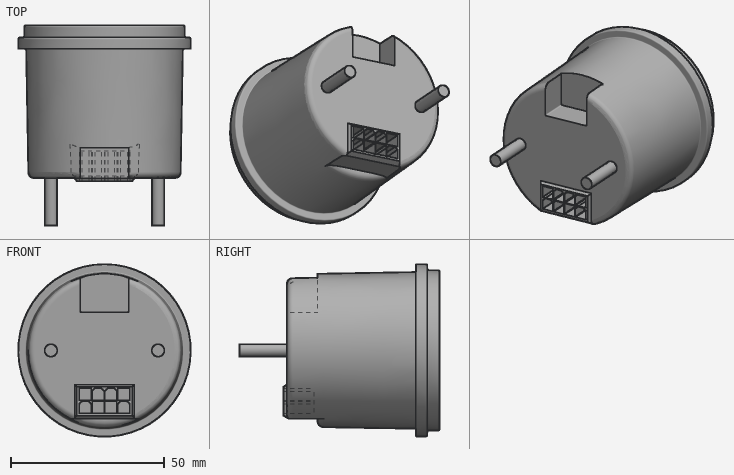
import cadquery as cq

BODY_LENGTH = 42.2
BODY_REAR_RADIUS = 24.9
BODY_FRONT_RADIUS = 25.65
BODY_REAR_FILLET = 2.0
BODY_ROOT_FILLET = 0.3

FLANGE_RADIUS = 28.22
FLANGE_THICKNESS = 3.8
FLANGE_FRONT_FILLET = 0.7
FLANGE_REAR_FILLET = 0.4
WINDOW_RADIUS = 26.25
OVERALL_FRONT = 50.0
WINDOW_FRONT_FILLET = 0.7
WINDOW_ROOT_FILLET = 0.4

STUD_RADIUS = 2.05
STUD_LENGTH = 15.5
STUD_SPACING = 35.0

POCKET_WIDTH = 15.8
POCKET_LENGTH = 10.0
POCKET_FLOOR_Z = 12.5
POCKET_FLOOR_FILLET = 0.4

RELIEF_Z = -22.4
RELIEF_LENGTH = 10.0
RELIEF_END_FILLET = 2.1

CONNECTOR_WIDTH = 19.5
CONNECTOR_TOP_Z = -11.2
CONNECTOR_HEIGHT = 1.1
CONNECTOR_SIDE_DRAFT = 0.7
BOTTOM_BEVEL_DEPTH = 1.9
BOTTOM_BEVEL_RISE = 1.1

CELL_PITCH = 4.2
CELL_SIZE = 3.95
CELL_DEPTH = 10.0
CELL_CHAMFER = 0.9
CELL_COLUMNS = 4
CELL_ROWS = 2
CELL_GRID_CENTER_Z = -16.45
KEYED_CELLS = [(1, 0), (2, 0), (0, 1), (3, 1)]

flange_front = BODY_LENGTH + FLANGE_THICKNESS


def cylinder_along_y(radius, y_start, y_end):
    plane = cq.Plane(origin=(0, y_start, 0), xDir=(0, 0, 1), normal=(0, 1, 0))
    return cq.Workplane(plane).circle(radius).extrude(y_end - y_start)


def box_between(x_range, y_range, z_range):
    size = [end - start for start, end in (x_range, y_range, z_range)]
    return cq.Workplane("XY").box(*size, centered=False).translate((x_range[0], y_range[0], z_range[0]))


def make_housing():
    """Tapered housing, flat under the connector, with its rear edges rounded."""
    profile = [(0, 0), (0, BODY_REAR_RADIUS), (BODY_LENGTH, BODY_FRONT_RADIUS), (BODY_LENGTH, 0)]
    body = cq.Workplane("YZ").polyline(profile).close().revolve(360, (0, 0, 0), (1, 0, 0))
    body = body.faces("<Y").edges().fillet(BODY_REAR_FILLET)

    cut_half = BODY_FRONT_RADIUS
    relief = box_between((-cut_half, cut_half), (0, RELIEF_LENGTH), (-FLANGE_RADIUS, RELIEF_Z))
    body = body.cut(relief)
    end_edge = cq.selectors.BoxSelector(
        (-cut_half, RELIEF_LENGTH - 0.1, -FLANGE_RADIUS),
        (cut_half, RELIEF_LENGTH + 0.1, RELIEF_Z - 0.1),
    )
    return body.edges(end_edge).fillet(RELIEF_END_FILLET)


def make_bezel():
    """Flange and the smaller window ring in front of it."""
    flange = cylinder_along_y(FLANGE_RADIUS, BODY_LENGTH, flange_front)
    flange = flange.faces(">Y").edges().fillet(FLANGE_FRONT_FILLET)
    flange = flange.faces("<Y").edges().fillet(FLANGE_REAR_FILLET)
    window = cylinder_along_y(WINDOW_RADIUS, flange_front, OVERALL_FRONT)
    window = window.faces(">Y").edges().fillet(WINDOW_FRONT_FILLET)
    return flange.union(window)


def fillet_root(part, y, radius, fillet):
    """Round the inner corner where a cylinder of the given radius meets a flange face at y."""
    reach = radius + 0.1
    margin = 0.05
    root = cq.selectors.BoxSelector(
        (-reach, y - margin, -reach), (reach, y + margin, reach), boundingbox=True
    )
    return part.edges(root).fillet(fillet)


def make_studs():
    stud = cylinder_along_y(STUD_RADIUS, -STUD_LENGTH, BODY_REAR_FILLET)
    half = STUD_SPACING / 2
    return stud.translate((-half, 0, 0)).union(stud.translate((half, 0, 0)))


def make_pocket():
    half = POCKET_WIDTH / 2
    pocket = box_between((-half, half), (-POCKET_LENGTH, POCKET_LENGTH), (POCKET_FLOOR_Z, FLANGE_RADIUS))
    return pocket.faces("<Z").edges("|Y").fillet(POCKET_FLOOR_FILLET)


def make_connector():
    """Connector block standing proud of the rear face, its sides and top sloping inwards."""
    base_half = CONNECTOR_WIDTH / 2
    tip_half = base_half - CONNECTOR_SIDE_DRAFT
    height = CONNECTOR_TOP_Z - RELIEF_Z
    tip_top = CONNECTOR_TOP_Z - CONNECTOR_SIDE_DRAFT
    plan = [
        (-base_half, RELIEF_LENGTH),
        (-base_half, 0),
        (-tip_half, -CONNECTOR_HEIGHT),
        (tip_half, -CONNECTOR_HEIGHT),
        (base_half, 0),
        (base_half, RELIEF_LENGTH),
    ]
    side = [
        (RELIEF_LENGTH, CONNECTOR_TOP_Z),
        (0, CONNECTOR_TOP_Z),
        (-CONNECTOR_HEIGHT, tip_top),
        (-CONNECTOR_HEIGHT, RELIEF_Z),
        (RELIEF_LENGTH, RELIEF_Z),
    ]
    plan_prism = cq.Workplane("XY").workplane(offset=RELIEF_Z).polyline(plan).close().extrude(height)
    side_prism = cq.Workplane("YZ").polyline(side).close().extrude(base_half, both=True)
    return plan_prism.intersect(side_prism)


def make_bottom_bevel():
    """Wedge that bevels the lower edge of the connector and of the flat behind it."""
    wedge = [
        (-CONNECTOR_HEIGHT, RELIEF_Z),
        (-CONNECTOR_HEIGHT, RELIEF_Z + BOTTOM_BEVEL_RISE),
        (BOTTOM_BEVEL_DEPTH - CONNECTOR_HEIGHT, RELIEF_Z),
    ]
    return cq.Workplane("YZ").polyline(wedge).close().extrude(CONNECTOR_WIDTH / 2, both=True)


def make_cell(keyed):
    """Square contact cell; keyed cells have bevelled top corners."""
    cell = cq.Workplane("XY").box(CELL_SIZE, CELL_DEPTH, CELL_SIZE, centered=(True, False, True))
    if keyed:
        cell = cell.faces(">Z").edges("|Y").chamfer(CELL_CHAMFER)
    return cell


def make_cells():
    """All contact cells, opening at the connector's outer face."""
    cells = cq.Workplane("XY")
    for column in range(CELL_COLUMNS):
        for row in range(CELL_ROWS):
            x = (column - (CELL_COLUMNS - 1) / 2) * CELL_PITCH
            z = CELL_GRID_CENTER_Z + ((CELL_ROWS - 1) / 2 - row) * CELL_PITCH
            cell = make_cell((column, row) in KEYED_CELLS)
            cells = cells.union(cell.translate((x, -CONNECTOR_HEIGHT, z)))
    return cells


housing = make_housing().union(make_bezel())
housing = fillet_root(housing, BODY_LENGTH, BODY_FRONT_RADIUS, BODY_ROOT_FILLET)
housing = fillet_root(housing, flange_front, WINDOW_RADIUS, WINDOW_ROOT_FILLET)
housing = housing.cut(make_pocket())

rear_details = make_connector().union(make_studs())
result = housing.union(rear_details).cut(make_bottom_bevel()).cut(make_cells())